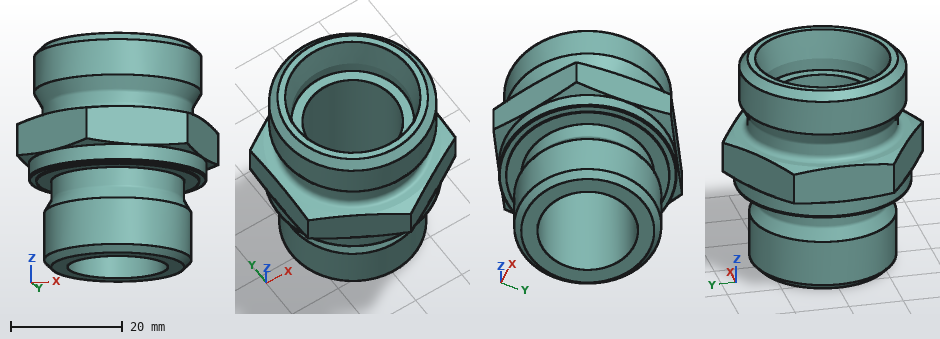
import cadquery as cq
import math

total_height = 40.0
hex_top = 26.0
hex_bottom = 19.0
collar_bottom = 15.9

hex_across_flats = 32.0
hex_chamfer_angle = math.radians(15)
collar_radius = 31.9 / 2
collar_chamfer_width = 0.15
collar_chamfer_height = 0.3

runout_angle = math.radians(30)
runout_blend_radius = 1.0

upper_radius = 30.0 / 2
upper_neck_radius = 27.0 / 2
upper_thread_bottom = 32.0
upper_chamfer = 1.5
neck_fillet = 1.2

stud_radius = 26.4 / 2
stud_neck_radius = 23.8 / 2
stud_thread_top = 9.85
stud_chamfer = 1.3

bore_radius = 18.0 / 2
socket_radius = 22.0 / 2
socket_depth = 7.5
taper_depth = 5.3
taper_angle = math.radians(12)
socket_mouth_radius = socket_radius + taper_depth * math.tan(taper_angle)

groove_radius = 29.3 / 2
groove_depth = 1.8
ring_outer_radius = 29.2 / 2
ring_inner_radius = 23.9 / 2
ring_protrusion = 0.25


def revolve_profile(profile):
    """Revolve a closed radius-height outline about the Z axis."""
    return profile.close().revolve(360, (0, 0, 0), (0, 1, 0))


def runout_points(thread_radius, thread_end, neck_radius, direction):
    """Return the start, middle and end of the arc that blends a run-out cone into its neck.

    direction is +1 when the neck lies above the thread and -1 when it lies below.
    """
    cone_height = (thread_radius - neck_radius) / math.tan(runout_angle)
    tangent_length = runout_blend_radius * math.tan(runout_angle / 2)
    arc_end_height = cone_height + tangent_length

    def blend_point(angle):
        radius = neck_radius + runout_blend_radius * (1 - math.cos(angle))
        height = arc_end_height - runout_blend_radius * math.sin(angle)
        return radius, thread_end + direction * height

    return [blend_point(angle) for angle in (runout_angle, runout_angle / 2, 0)]


def make_turned_body():
    """Make the round fitting body, solid inside."""
    stud_cone_end, stud_blend_mid, stud_neck_start = runout_points(
        stud_radius, stud_thread_top, stud_neck_radius, 1
    )
    upper_cone_end, upper_blend_mid, upper_neck_end = runout_points(
        upper_radius, upper_thread_bottom, upper_neck_radius, -1
    )
    fillet_offset = neck_fillet * (1 - math.sqrt(0.5))
    profile = (
        cq.Workplane("XZ")
        .moveTo(0, 0)
        .lineTo(stud_radius - stud_chamfer, 0)
        .lineTo(stud_radius, stud_chamfer)
        .lineTo(stud_radius, stud_thread_top)
        .lineTo(*stud_cone_end)
        .threePointArc(stud_blend_mid, stud_neck_start)
        .lineTo(stud_neck_radius, collar_bottom)
        .lineTo(collar_radius - collar_chamfer_width, collar_bottom)
        .lineTo(collar_radius, collar_bottom + collar_chamfer_height)
        .lineTo(collar_radius, hex_top)
        .lineTo(upper_neck_radius + neck_fillet, hex_top)
        .threePointArc(
            (upper_neck_radius + fillet_offset, hex_top + fillet_offset),
            (upper_neck_radius, hex_top + neck_fillet),
        )
        .lineTo(*upper_neck_end)
        .threePointArc(upper_blend_mid, upper_cone_end)
        .lineTo(upper_radius, upper_thread_bottom)
        .lineTo(upper_radius, total_height - upper_chamfer)
        .lineTo(upper_radius - upper_chamfer, total_height)
        .lineTo(0, total_height)
    )
    return revolve_profile(profile)


def make_hexagon():
    """Make the hexagon, corners on the Y axis, with its corners chamfered at both ends."""
    corner_radius = hex_across_flats / 2 / math.cos(math.pi / 6)
    corner_drop = (corner_radius - collar_radius) * math.tan(hex_chamfer_angle)
    prism = (
        cq.Workplane("XY", origin=(0, 0, hex_bottom))
        .polygon(6, 2 * corner_radius)
        .extrude(hex_top - hex_bottom)
        .rotate((0, 0, 0), (0, 0, 1), 30)
    )
    chamfer_envelope = revolve_profile(
        cq.Workplane("XZ")
        .moveTo(0, hex_bottom)
        .lineTo(collar_radius, hex_bottom)
        .lineTo(corner_radius, hex_bottom + corner_drop)
        .lineTo(corner_radius, hex_top - corner_drop)
        .lineTo(collar_radius, hex_top)
        .lineTo(0, hex_top)
    )
    return prism.intersect(chamfer_envelope)


def make_bore():
    """Make the cutter for the through bore and the tapered socket above it."""
    socket_floor = total_height - socket_depth
    return revolve_profile(
        cq.Workplane("XZ")
        .moveTo(0, 0)
        .lineTo(bore_radius, 0)
        .lineTo(bore_radius, socket_floor)
        .lineTo(socket_radius, socket_floor)
        .lineTo(socket_radius, total_height - taper_depth)
        .lineTo(socket_mouth_radius, total_height)
        .lineTo(0, total_height)
    )


def make_annulus(outer_radius, inner_radius, bottom, top):
    """Make a plain ring about the Z axis."""
    return (
        cq.Workplane("XY", origin=(0, 0, bottom))
        .circle(outer_radius)
        .circle(inner_radius)
        .extrude(top - bottom)
    )


groove_roof = collar_bottom + groove_depth

seal_groove = make_annulus(groove_radius, stud_neck_radius, collar_bottom, groove_roof)
fitting = make_turned_body().union(make_hexagon()).cut(make_bore()).cut(seal_groove)

seal_ring = make_annulus(
    ring_outer_radius, ring_inner_radius, collar_bottom - ring_protrusion, groove_roof
)

result = cq.Compound.makeCompound([fitting.val(), seal_ring.val()])